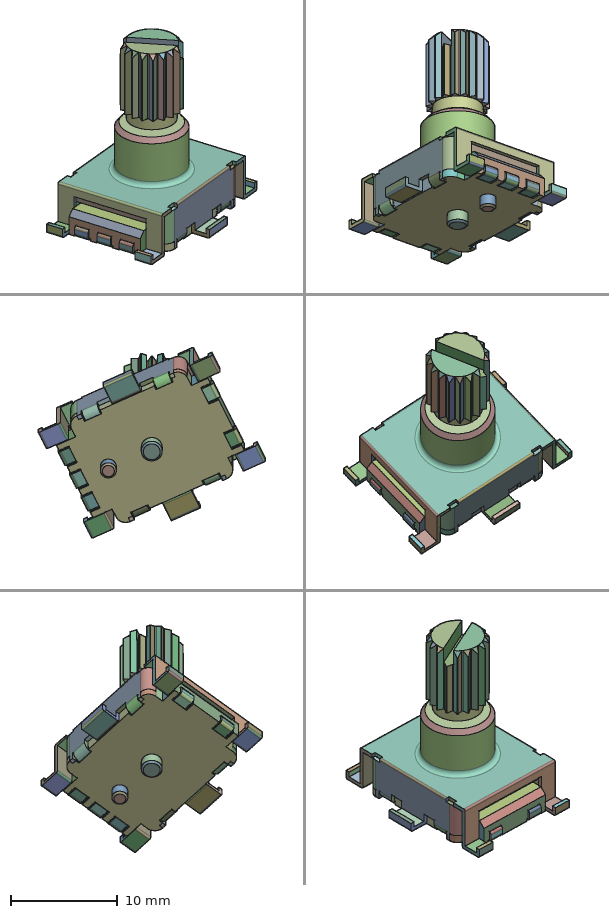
import cadquery as cq
import math


sheet = 0.4
bend_radius = 0.2
cover_length_x = 11.7
cover_length_y = 14.2
cover_top = 4.6
foot_span_x = 15.0
foot_span_y = 18.0
foot_bottom = 0.05
foot_tip_top = 1.0
window_width = 8.1
window_top = 3.6
flap_length = 10.0
relief_inner = 4.5
relief_outer = 5.5
side_foot_width = 3.0
notch_outer = 2.9
notch_top = 1.27
clinch_outer = 4.5
clinch_top = 0.85
clinch_gap = 0.08
clinch_gap_height = 0.33

bushing_radius = 3.5
bushing_top = 9.6
bushing_chamfer_height = 0.5
bushing_chamfer_width = 0.42
bushing_fillet = 0.5

neck_radius = 1.5
neck_top = 10.0
collar_radius = 2.4
collar_top = 11.2
spline_radius = 3.0
spline_root_radius = 2.5
tooth_count = 18
tooth_tip_width = 0.08
tooth_root_width = 0.12
shaft_top = 18.1
slot_width = 1.0
slot_depth = 1.6
slot_angle = 25.7

housing_length_y = 12.0
corner_radius = 1.0
corner_foot_top = 0.8
block_width = 7.99
block_top = 2.47
block_chamfer = 0.6
front_block_end = 7.99
back_block_end = 7.7
pin_drop = 1.2
pin_chamfer = 0.2
centre_pin_radius = 0.98
front_pin_radius = 0.75
front_pin_y = -4.5

terminal_width = 1.5
terminal_pitch = 2.5
terminal_top = 1.15
terminal_radius = 0.3
terminal_projection = 0.2
terminal_embedment = 1.0
terminal_recess_width = 1.8
terminal_recess_height = 0.2

wall_x = cover_length_x / 2
wall_y = cover_length_y / 2
flap_inner_x = wall_x - sheet
cover_underside = cover_top - sheet
flap_end = flap_length / 2
housing_end = housing_length_y / 2
clinch_outer_radius = clinch_top - foot_bottom
clinch_inner_radius = clinch_outer_radius - sheet
clinch_centre_x = wall_x - clinch_outer_radius
front_terminal_xs = [-terminal_pitch, 0, terminal_pitch]
back_terminal_xs = [-terminal_pitch, terminal_pitch]


def box(x_range, y_range, z_range):
    """Box from its limits along X, Y and Z."""
    (x0, x1), (y0, y1), (z0, z1) = x_range, y_range, z_range
    return cq.Workplane("XY").box(x1 - x0, y1 - y0, z1 - z0, centered=False).translate((x0, y0, z0))


def polar(radius, angle):
    return (radius * math.cos(angle), radius * math.sin(angle))


def turned(body):
    """Copy of a body turned half a turn about the shaft axis."""
    return body.rotate((0, 0, 0), (0, 0, 1), 180)


def mirrored_in_four(body):
    """A body together with its mirror images across the XZ and YZ planes."""
    pair = body.union(body.mirror("XZ"))
    return pair.union(pair.mirror("YZ"))


def footed_strip(plane, wall, foot_end, width):
    """Half of a strip: flat top, down a wall, out along a foot and up its tip."""
    r = bend_radius
    foot_top = foot_bottom + sheet
    return (
        cq.Workplane(plane)
        .moveTo(0, cover_top)
        .lineTo(wall - r, cover_top)
        .tangentArcPoint((r, -r))
        .lineTo(wall, foot_top)
        .lineTo(foot_end - sheet, foot_top)
        .lineTo(foot_end - sheet, foot_tip_top)
        .lineTo(foot_end, foot_tip_top)
        .lineTo(foot_end, foot_bottom + r)
        .tangentArcPoint((-r, -r))
        .lineTo(wall - sheet + r, foot_bottom)
        .tangentArcPoint((-r, r))
        .lineTo(wall - sheet, cover_underside)
        .lineTo(0, cover_underside)
        .close()
        .extrude(width / 2, both=True)
    )


def corner_wrap():
    """Quarter-round end of a side wall, bent around the corner of the housing."""
    ro = corner_radius
    ri = corner_radius - sheet
    return (
        cq.Workplane("XY", origin=(wall_x - ro, flap_end, corner_foot_top))
        .moveTo(ri, 0)
        .lineTo(ro, 0)
        .radiusArc((0, ro), -ro)
        .lineTo(0, ri)
        .radiusArc((ri, 0), ri)
        .close()
        .extrude(cover_underside - corner_foot_top)
    )


def end_walls():
    """Top plate with both end walls, each cut by a window that leaves two legs with feet."""
    half = footed_strip("YZ", wall_y, foot_span_y / 2, cover_length_x)
    plate = half.union(turned(half))
    window = box(
        (-window_width / 2, window_width / 2), (-foot_span_y, foot_span_y), (0, window_top)
    )
    folded_edge = box(
        (flap_inner_x, wall_x), (-relief_outer, relief_outer), (cover_underside, cover_top)
    )
    return plate.cut(window).cut(folded_edge).cut(turned(folded_edge))


def clinch_tab():
    """Quarter-round tab that curls from the side wall under the base."""
    ro = clinch_outer_radius
    ri = clinch_inner_radius
    return (
        cq.Workplane("XZ", origin=(clinch_centre_x, clinch_outer, clinch_top))
        .moveTo(ri, 0)
        .lineTo(ro, 0)
        .radiusArc((0, -ro), ro)
        .lineTo(0, -ri)
        .radiusArc((ri, 0), -ri)
        .close()
        .extrude(clinch_outer - notch_outer)
    )


def side_wall():
    """Side wall at +X with its bottom cutouts and its foot."""
    wall = (
        cq.Workplane("XZ")
        .moveTo(0, cover_top)
        .lineTo(wall_x - bend_radius, cover_top)
        .tangentArcPoint((bend_radius, -bend_radius))
        .lineTo(wall_x, 0)
        .lineTo(flap_inner_x, 0)
        .lineTo(flap_inner_x, cover_underside)
        .lineTo(0, cover_underside)
        .close()
        .extrude(flap_end, both=True)
    )
    clinch_slot_end = clinch_outer + clinch_gap
    through_wall = (flap_inner_x, wall_x)
    wall = wall.cut(box(through_wall, (-clinch_slot_end, clinch_slot_end), (0, clinch_top)))
    wall = wall.cut(box(through_wall, (-notch_outer, notch_outer), (0, notch_top)))
    return wall.union(footed_strip("XZ", wall_x, foot_span_x / 2, side_foot_width))


def bushing():
    """Round bushing that flares into the top plate."""
    f = bushing_fillet
    return (
        cq.Workplane("XZ")
        .moveTo(0, cover_underside)
        .lineTo(bushing_radius + f, cover_underside)
        .lineTo(bushing_radius + f, cover_top)
        .radiusArc((bushing_radius, cover_top + f), f)
        .lineTo(bushing_radius, bushing_top - bushing_chamfer_height)
        .lineTo(bushing_radius - bushing_chamfer_width, bushing_top)
        .lineTo(0, bushing_top)
        .close()
        .revolve(360, (0, 0, 0), (0, 1, 0))
    )


def make_cover():
    wall = side_wall()
    corner_relief = box(
        (flap_inner_x, wall_x), (relief_inner, relief_outer), (cover_underside, cover_top)
    )
    bore = cq.Workplane("XY").circle(neck_radius).extrude(bushing_top)
    return (
        end_walls()
        .union(wall)
        .union(turned(wall))
        .cut(mirrored_in_four(corner_relief))
        .union(mirrored_in_four(corner_wrap()))
        .union(mirrored_in_four(clinch_tab()))
        .union(bushing())
        .cut(bore)
    )


def splined_head():
    """Head with narrow-tipped teeth, chamfered down to the tooth roots at the top."""
    pitch = 2 * math.pi / tooth_count
    half_tip = tooth_tip_width / (2 * spline_radius)
    half_root = tooth_root_width / (2 * spline_root_radius)
    points = []
    for i in range(tooth_count):
        middle = math.radians(slot_angle) + i * pitch
        points.append(polar(spline_root_radius, middle - pitch / 2 + half_root))
        points.append(polar(spline_radius, middle - half_tip))
        points.append(polar(spline_radius, middle + half_tip))
        points.append(polar(spline_root_radius, middle + pitch / 2 - half_root))
    length = shaft_top - collar_top
    teeth = cq.Workplane("XY", origin=(0, 0, collar_top)).polyline(points).close().extrude(length)
    envelope = (
        cq.Workplane("XY", origin=(0, 0, collar_top))
        .circle(spline_radius)
        .extrude(length)
        .faces(">Z")
        .chamfer(spline_radius - spline_root_radius)
    )
    return teeth.intersect(envelope)


def make_shaft():
    neck = (
        cq.Workplane("XY", origin=(0, 0, cover_underside))
        .circle(neck_radius)
        .extrude(neck_top - cover_underside)
    )
    collar = (
        cq.Workplane("XY", origin=(0, 0, neck_top))
        .circle(collar_radius)
        .extrude(collar_top - neck_top)
    )
    slot = box(
        (-2 * spline_radius, 2 * spline_radius),
        (-slot_width / 2, slot_width / 2),
        (shaft_top - slot_depth, shaft_top),
    ).rotate((0, 0, 0), (0, 0, 1), slot_angle)
    return neck.union(collar).union(splined_head()).cut(slot)


def body_slab(bottom, top):
    """Round-cornered slab, recessed to take the side walls and corner wraps of the cover."""
    slab = box((-wall_x, wall_x), (-housing_end, housing_end), (bottom, top))
    slab = slab.edges("|Z").fillet(corner_radius)
    side_recess = box((flap_inner_x, wall_x), (-flap_end, flap_end), (bottom, top))
    return slab.cut(side_recess).cut(turned(side_recess)).cut(mirrored_in_four(corner_wrap()))


def make_housing():
    return body_slab(block_top, cover_underside)


def terminal_block(end):
    """Terminal block on the -Y side, chamfered along its top outer edge."""
    block = box((-block_width / 2, block_width / 2), (-end, -housing_end), (0, block_top))
    return block.edges("<Y and >Z").chamfer(block_chamfer)


def locating_pin(radius, y):
    return (
        cq.Workplane("XY", origin=(0, y, 0))
        .circle(radius)
        .extrude(-pin_drop)
        .faces("<Z")
        .chamfer(pin_chamfer)
    )


def clinch_recess():
    """Room for a clinch tab, leaving a round core for the tab to curl around."""
    room = box((clinch_centre_x, wall_x), (notch_outer, clinch_outer), (0, clinch_top))
    core = (
        cq.Workplane("XZ", origin=(clinch_centre_x, clinch_outer, clinch_top))
        .circle(clinch_inner_radius)
        .extrude(clinch_outer - notch_outer)
    )
    clearance = box(
        (clinch_centre_x, wall_x),
        (notch_outer - clinch_gap, clinch_outer + clinch_gap),
        (0, clinch_gap_height),
    )
    return room.cut(core).union(clearance)


def terminal_recess(x, end):
    """Shallow recess under a terminal on the -Y side."""
    half = terminal_recess_width / 2
    return box((x - half, x + half), (-end, -end + terminal_embedment), (0, terminal_recess_height))


def make_base(terminals):
    base = (
        body_slab(0, block_top)
        .union(terminal_block(front_block_end))
        .union(turned(terminal_block(back_block_end)))
        .union(locating_pin(centre_pin_radius, 0))
        .union(locating_pin(front_pin_radius, front_pin_y))
        .cut(mirrored_in_four(clinch_recess()))
    )
    for x in front_terminal_xs:
        base = base.cut(terminal_recess(x, front_block_end))
    for x in back_terminal_xs:
        base = base.cut(turned(terminal_recess(x, back_block_end)))
    for terminal in terminals:
        base = base.cut(terminal)
    return base


def terminal(x, end):
    """Terminal set in a block on the -Y side, rounded along its outer edges."""
    half = terminal_width / 2
    y_range = (-end - terminal_projection, -end + terminal_embedment)
    body = box((x - half, x + half), y_range, (foot_bottom, terminal_top))
    return body.faces("<Y").edges("|X").fillet(terminal_radius)


def make_terminals():
    front = [terminal(x, front_block_end) for x in front_terminal_xs]
    back = [turned(terminal(x, back_block_end)) for x in back_terminal_xs]
    return front + back


cover = make_cover()
shaft = make_shaft()
housing = make_housing()
terminals = make_terminals()
base = make_base(terminals)

result = cq.Compound.makeCompound(
    [cover.val(), shaft.val(), housing.val(), base.val(), *[body.val() for body in terminals]]
)